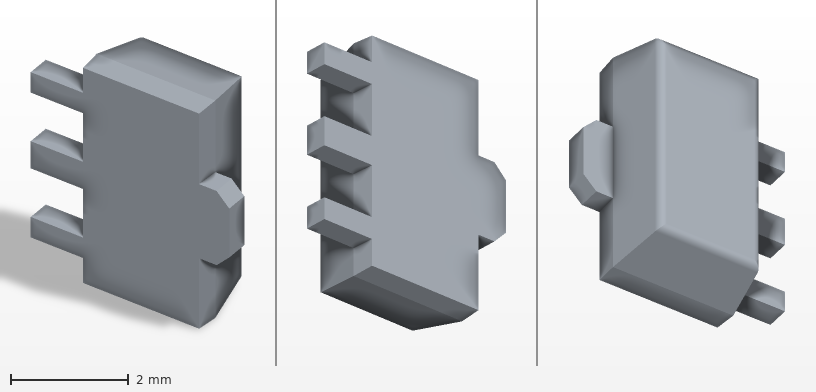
import cadquery as cq
import math

overall_length = 4.1
package_depth = 1.6
body_height = 4.5
body_width = 2.45
body_left = 1.055
body_center_x = body_left + body_width / 2

metal_thickness = 0.45
base_draft = 3.0
crown_draft = 10.0
crown_fillet = 0.15
base_inset = metal_thickness * math.tan(math.radians(base_draft))

lead_height = 0.425
lead_pitch = 1.5
lead_length = body_left + base_inset

neck_height = 0.562
neck_length = 1.3
pad_height = 1.655
pad_right = 3.175
tab_height = 1.535
tab_chamfer = 0.26
taper_length = (pad_height - neck_height) / 2


def parting_outline():
    """Body rectangle on the parting plane; the workplane normal points to +Y."""
    plane = cq.Plane(origin=(body_center_x, metal_thickness, 0), xDir=(1, 0, 0), normal=(0, 1, 0))
    return cq.Workplane(plane).rect(body_width, body_height)


def make_outer_lead(center_z):
    """Square-ended bar that stops at the bottom edge of the body."""
    size = (lead_length, metal_thickness, lead_height)
    return (
        cq.Workplane("XY")
        .box(*size, centered=(False, False, True))
        .translate((0, 0, center_z))
    )


def make_heat_tab():
    """Center lead that widens into the die pad and ends in a chamfered tab."""
    upper_edge = [
        (0, neck_height / 2),
        (neck_length, neck_height / 2),
        (neck_length + taper_length, pad_height / 2),
        (pad_right, pad_height / 2),
        (pad_right, tab_height / 2),
        (overall_length - tab_chamfer, tab_height / 2),
        (overall_length, tab_height / 2 - tab_chamfer),
    ]
    lower_edge = [(x, -z) for x, z in reversed(upper_edge)]
    return cq.Workplane("XZ").polyline(upper_edge + lower_edge).close().extrude(-metal_thickness)


def make_housing(embedded_parts):
    """Drafted moulding with a rounded crown and a matching recess for each metal part."""
    crown_depth = package_depth - metal_thickness
    crown = parting_outline().extrude(crown_depth, taper=crown_draft)
    crown = crown.faces(">Y").edges().fillet(crown_fillet)
    base = parting_outline().extrude(-metal_thickness, taper=base_draft)
    housing = crown.union(base)
    for part in embedded_parts:
        housing = housing.cut(part)
    return housing


outer_leads = [make_outer_lead(side * lead_pitch) for side in (-1, 1)]
heat_tab = make_heat_tab()
housing = make_housing([heat_tab, *outer_leads])

result = cq.Compound.makeCompound(
    [housing.solids().val(), heat_tab.val(), *[lead.val() for lead in outer_leads]]
)